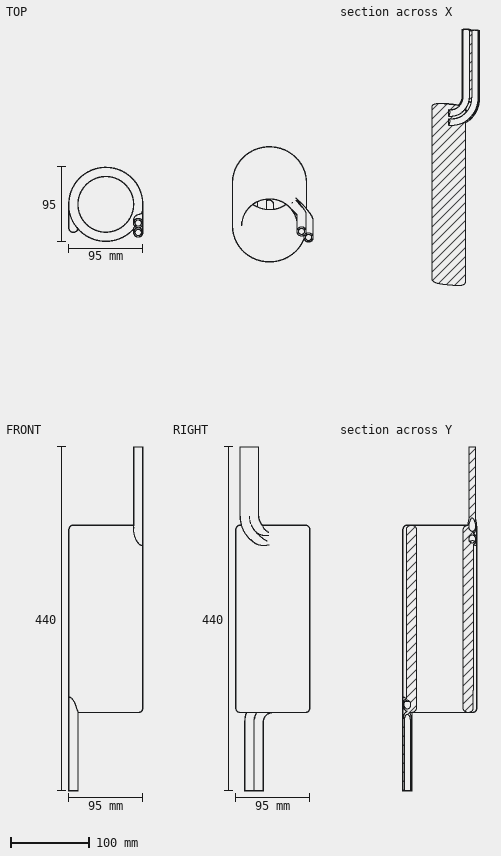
import cadquery as cq

WALL = 12
BODY_DIAMETER = 95
BODY_HEIGHT = 240
BODY_INNER_DIAMETER = BODY_DIAMETER - 2 * WALL
MEAN_RADIUS = (BODY_DIAMETER - WALL) / 2

LEAD_FIT = 0.02
LEAD_PITCH = WALL
LEAD_DIAMETER = LEAD_PITCH - LEAD_FIT
BORE_DIAMETER = 8
LEAD_REACH = 100
BEND_CLEARANCE = 12
STRAIGHT_LENGTH = LEAD_REACH - BEND_CLEARANCE
BOTTOM_BEND_RADIUS = 18
TOP_BEND_RADIUS = 24


def coil_body():
    """Hollow cylinder standing on Z = 0 with half-round top and bottom rims."""
    inner_radius = BODY_INNER_DIAMETER / 2
    outer_radius = BODY_DIAMETER / 2
    rim_low = WALL / 2
    rim_high = BODY_HEIGHT - WALL / 2
    return (
        cq.Workplane("XZ")
        .moveTo(outer_radius, rim_low)
        .lineTo(outer_radius, rim_high)
        .threePointArc((MEAN_RADIUS, BODY_HEIGHT), (inner_radius, rim_high))
        .lineTo(inner_radius, rim_low)
        .threePointArc((MEAN_RADIUS, 0), (outer_radius, rim_low))
        .close()
        .revolve(360, (0, 0, 0), (0, 1, 0))
    )


def lead_rod(diameter, x, bend_end, direction, bend_radius):
    """Round rod with a straight run along Z and a quarter bend that ends in the wall at Y = 0.

    direction is +1 for a lead that points up and -1 for one that points down.
    """
    radius = diameter / 2
    joint = cq.Workplane("XY", origin=(x, -bend_radius, bend_end))
    straight = joint.circle(radius).extrude(direction * STRAIGHT_LENGTH)
    bend = joint.circle(radius).revolve(90, (0, bend_radius, 0), (direction, bend_radius, 0))
    return straight.union(bend)


def lead_rods(diameter):
    """All four lead rods: an inner and an outer one at each end of the body."""
    ends = [
        (-MEAN_RADIUS, -BEND_CLEARANCE, -1, BOTTOM_BEND_RADIUS),
        (MEAN_RADIUS, BODY_HEIGHT + BEND_CLEARANCE, 1, TOP_BEND_RADIUS),
    ]
    rods = []
    for x, bend_end, direction, inner_bend_radius in ends:
        for bend_radius in (inner_bend_radius, inner_bend_radius + LEAD_PITCH):
            rods.append(lead_rod(diameter, x, bend_end, direction, bend_radius))
    return rods


result = coil_body()
for tube in lead_rods(LEAD_DIAMETER):
    result = result.union(tube)
for bore in lead_rods(BORE_DIAMETER):
    result = result.cut(bore)